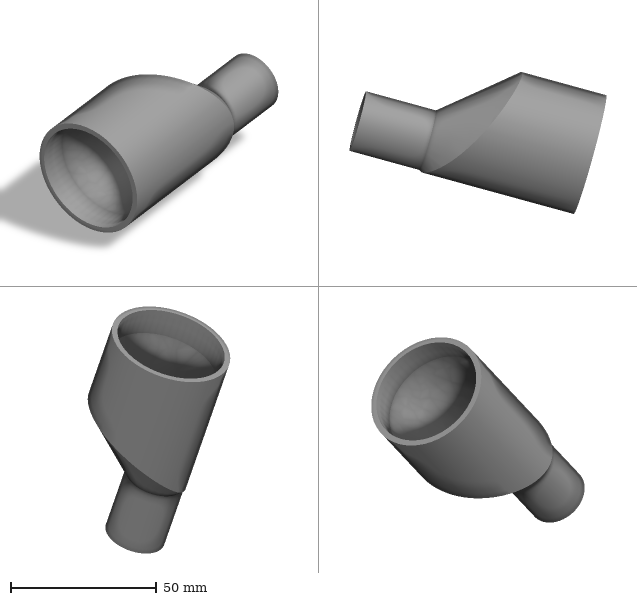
import cadquery as cq

wide_outer_diameter = 42.4
wide_bore_diameter = 38.4
narrow_outer_diameter = 21.3
narrow_bore_diameter = 18.1

total_length = 80
wide_length = 30.0
narrow_length = 25.0
wide_bore_depth = 10.0
cone_end = total_length - narrow_length

offset = (wide_bore_diameter - narrow_bore_diameter) / 2


def round_bar(diameter, x, start, end):
    """Cylinder along Y, centred at the given X."""
    return cq.Workplane("XZ", origin=(x, start, 0)).circle(diameter / 2).extrude(start - end)


def outer_body():
    """Wide cylinder trimmed by a cone around the narrow pipe axis, plus the narrow pipe."""
    narrow_radius = narrow_outer_diameter / 2
    cone_radius = wide_outer_diameter / 2 + offset
    trimming_cone = (
        cq.Workplane("XY")
        .moveTo(offset, 0)
        .lineTo(offset + cone_radius, 0)
        .lineTo(offset + cone_radius, wide_length)
        .lineTo(offset + narrow_radius, cone_end)
        .lineTo(offset, cone_end)
        .close()
        .revolve(360, (offset, 0, 0), (offset, 1, 0))
    )
    wide_cylinder = round_bar(wide_outer_diameter, 0, 0, cone_end)
    narrow_cylinder = round_bar(narrow_outer_diameter, offset, cone_end, total_length)
    return wide_cylinder.intersect(trimming_cone).union(narrow_cylinder)


def bore():
    """Two straight bores joined by a slanted taper."""
    taper = (
        cq.Workplane("XZ", origin=(0, wide_bore_depth, 0))
        .circle(wide_bore_diameter / 2)
        .workplane(offset=wide_bore_depth - cone_end)
        .center(offset, 0)
        .circle(narrow_bore_diameter / 2)
        .loft(ruled=True)
    )
    wide_bore = round_bar(wide_bore_diameter, 0, 0, wide_bore_depth)
    narrow_bore = round_bar(narrow_bore_diameter, offset, cone_end, total_length)
    return wide_bore.union(taper).union(narrow_bore)


result = outer_body().cut(bore())